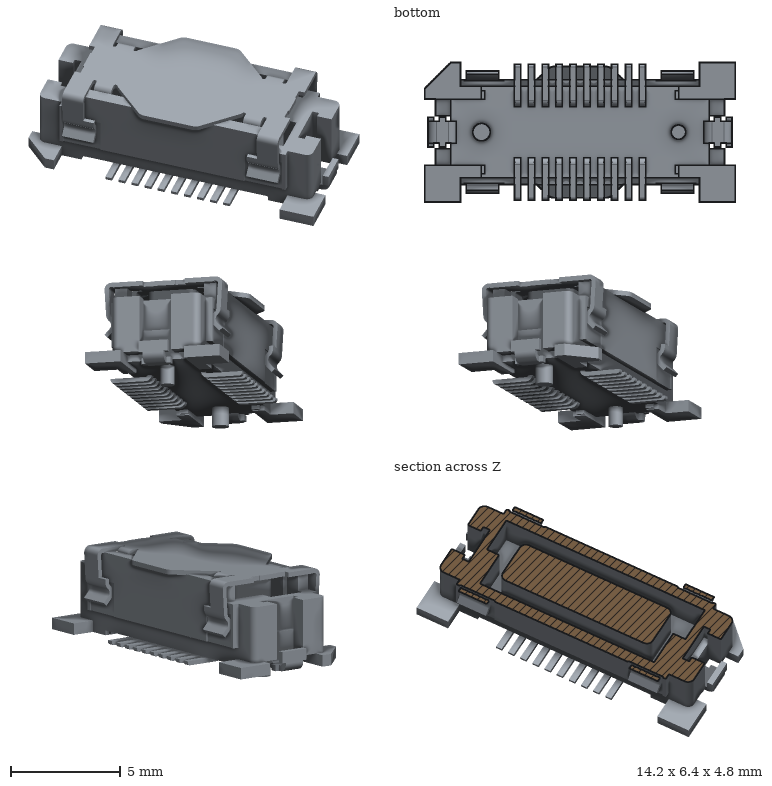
import cadquery as cq
import math


block_half_length = 6.62
block_half_width = 2.10
block_corner_radius = 0.32
base_bottom = 0.27
block_top = 3.18
wall_half_length = 5.48
wall_half_width = 2.40
wall_bottom = 1.12
wall_top = 4.02
upper_wall_half_length = 4.85

cavity_half_length = 4.54
cavity_half_width = 1.82
cavity_floor = 1.00
key_pocket_half_length = 5.18
tongue_half_length = 3.93
tongue_half_width = 1.13
tongue_corner_radius = 0.32

end_slot_half_width = 0.75
nail_slot_inner_x = 5.60
nail_slot_outer_x = 5.92
nail_slot_half_width = 1.00

nail_thickness = 0.28
nail_outer_x = 6.97
nail_inner_top = 1.69
nail_outer_top = 0.98
nail_neck_top = 0.455
nail_foot_half_width = 0.69
nail_neck_half_width = 0.50
nail_foot_inner_x = 6.14
nail_foot_outer_x = 6.45
nail_bend_radius = 0.25

pad_inner_x = 5.47
pad_outer_x = 7.11
pad_inner_y = 1.51
pad_outer_y = 3.20
pad_bottom = 0.044
pad_top = 0.58
pad_chamfer = 1.20
standoff_inner_x = 4.52
standoff_lug_length = 0.15
standoff_lug_bottom = 0.09
standoff_lug_outer_y = 1.90

peg_x = 4.51
peg_bottom = -0.60
left_peg_diameter = 0.80
right_peg_diameter = 0.66

contact_count = 10
contact_pitch = 0.635
contact_width = 0.30
contact_thickness = 0.20
contact_tip_y = 3.12
contact_heel_y = 1.27
contact_heel_rise = 0.20
contact_bend_radius = 0.20
contact_tip_radius = 0.12

cap_top = 4.20
cap_thickness = 0.22
cap_half_length = 5.22
cap_slot_root_y = 1.39
cap_slot_width = 0.18
cap_plate_half_width = 3.01
cap_plate_tip_half_length = 1.36
cap_plate_corner_radius = 0.45
cap_end_notch_depth = 0.28
cap_end_notch_half_width = 1.00
cap_end_tooth_height = 0.05
cap_end_tooth_half_width = 0.50
strap_inner_x = 4.21
strap_half_width = 2.40
tab_inner_x = 3.20
tab_outer_x = strap_inner_x - cap_slot_width
tab_bottom = 2.60
tab_bend_radius = 0.20

leg_thickness = 0.20
leg_corner_y = 2.71
leg_knee = (2.615, 2.54)
leg_vertex = (2.20, 2.28)
leg_tip = (2.73, 1.705)
leg_corner_radius = 0.21
leg_knee_radius = 0.32
leg_vertex_radius = 0.34
leg_shoulder_z = 2.87
leg_wide_inner_x = 3.71

window_inner_x = 3.49
window_outer_x = 5.31
window_top = 2.69
window_floor_y = 2.35


def box(x_range, y_range, z_range):
    """Box between two limits on each axis, given in either order."""
    x_min, x_max = sorted(x_range)
    y_min, y_max = sorted(y_range)
    z_min, z_max = sorted(z_range)
    size = (x_max - x_min, y_max - y_min, z_max - z_min)
    return cq.Workplane("XY").box(*size, centered=False).translate((x_min, y_min, z_min))


def centred_box(half_length, half_width, z_range):
    """Box centred on the Z axis."""
    return box((-half_length, half_length), (-half_width, half_width), z_range)


def four_corners(shape):
    """Copies of a shape in the +X +Y quadrant, mirrored into all four quadrants."""
    pair = shape.union(shape.mirror("XZ"))
    return pair.union(pair.mirror("YZ"))


def both_ends(shape):
    """A shape at the +X end together with its mirror image at the -X end."""
    return shape.union(shape.mirror("YZ"))


def unit(start, end):
    length = math.dist(start, end)
    return ((end[0] - start[0]) / length, (end[1] - start[1]) / length)


def bend(before, corner, after, radius):
    """Start, middle and end of the centreline arc rounding a corner, each as (point, left normal)."""
    u = unit(before, corner)
    v = unit(corner, after)
    turn = math.atan2(u[0] * v[1] - u[1] * v[0], u[0] * v[0] + u[1] * v[1])
    tangent = radius * math.tan(abs(turn) / 2)
    side = math.copysign(1, turn)
    start = (corner[0] - tangent * u[0], corner[1] - tangent * u[1])
    end = (corner[0] + tangent * v[0], corner[1] + tangent * v[1])
    start_normal = (-u[1], u[0])
    end_normal = (-v[1], v[0])
    centre = (start[0] + side * radius * start_normal[0], start[1] + side * radius * start_normal[1])
    mid_normal = unit((0, 0), (start_normal[0] + end_normal[0], start_normal[1] + end_normal[1]))
    middle = (centre[0] - side * radius * mid_normal[0], centre[1] - side * radius * mid_normal[1])
    return [(start, start_normal), (middle, mid_normal), (end, end_normal)]


def bent_strip(plane, centreline, radii, thickness):
    """Closed outline of sheet metal bent along a centreline, one radius per inner corner."""
    bends = []
    for i, radius in enumerate(radii):
        bends.append(bend(centreline[i], centreline[i + 1], centreline[i + 2], radius))
    first_direction = unit(centreline[0], centreline[1])
    last_direction = unit(centreline[-2], centreline[-1])
    first = (centreline[0], (-first_direction[1], first_direction[0]))
    last = (centreline[-1], (-last_direction[1], last_direction[0]))

    def offset(station, side):
        point, normal = station
        shift = side * thickness / 2
        return (point[0] + shift * normal[0], point[1] + shift * normal[1])

    outline = cq.Workplane(plane).moveTo(*offset(first, 1))
    for start, middle, end in bends:
        outline = outline.lineTo(*offset(start, 1)).threePointArc(offset(middle, 1), offset(end, 1))
    outline = outline.lineTo(*offset(last, 1)).lineTo(*offset(last, -1))
    for start, middle, end in reversed(bends):
        outline = outline.lineTo(*offset(end, -1)).threePointArc(offset(middle, -1), offset(start, -1))
    return outline.lineTo(*offset(first, -1)).close()


def make_housing():
    block = centred_box(block_half_length, block_half_width, (pad_bottom, block_top))
    block = block.edges("|Z").fillet(block_corner_radius)
    cross_channel = centred_box(standoff_inner_x, block_half_width, (pad_bottom, base_bottom))
    long_channel = centred_box(block_half_length, pad_inner_y, (pad_bottom, base_bottom))
    end_undercut = box(
        (nail_slot_outer_x, block_half_length), (-pad_inner_y, pad_inner_y), (pad_bottom, pad_top)
    )
    block = block.cut(cross_channel).cut(long_channel).cut(both_ends(end_undercut))

    lug = box(
        (standoff_inner_x - standoff_lug_length, standoff_inner_x),
        (pad_inner_y, standoff_lug_outer_y),
        (standoff_lug_bottom, base_bottom),
    )
    side_walls = centred_box(wall_half_length, wall_half_width, (wall_bottom, block_top))
    upper_walls = centred_box(upper_wall_half_length, wall_half_width, (block_top, wall_top))
    housing = block.union(four_corners(lug)).union(side_walls).union(upper_walls)

    cavity = centred_box(cavity_half_length, cavity_half_width, (cavity_floor, wall_top))
    key_pocket = box(
        (-key_pocket_half_length, key_pocket_half_length), (-cavity_half_width, 0), (cavity_floor, wall_top)
    )
    upper_gap = centred_box(upper_wall_half_length, cavity_half_width, (block_top, wall_top))
    window = box(
        (window_inner_x, window_outer_x), (window_floor_y, wall_half_width), (wall_bottom, window_top)
    )
    housing = housing.cut(cavity).cut(key_pocket).cut(upper_gap).cut(four_corners(window))

    end_slot = box(
        (nail_slot_outer_x, block_half_length), (-end_slot_half_width, end_slot_half_width), (0, block_top)
    )
    nail_slot = box(
        (nail_slot_inner_x, nail_slot_outer_x), (-nail_slot_half_width, nail_slot_half_width), (0, block_top)
    )
    return housing.cut(both_ends(end_slot.union(nail_slot)))


def make_tongue():
    tongue = centred_box(tongue_half_length, tongue_half_width, (cavity_floor, cap_top - cap_thickness))
    return tongue.edges("|Z").fillet(tongue_corner_radius)


def make_pads():
    pad = box((pad_inner_x, pad_outer_x), (pad_inner_y, pad_outer_y), (pad_bottom, pad_top))
    clear_slot = centred_box(pad_outer_x, end_slot_half_width, (pad_bottom, pad_top))
    pads = four_corners(pad).cut(clear_slot)
    return pads.edges("|Z").edges("<(1, 1, 0)").chamfer(pad_chamfer)


def make_peg(x, diameter):
    peg = cq.Workplane("XY", origin=(x, 0, peg_bottom)).circle(diameter / 2)
    return peg.extrude(base_bottom - peg_bottom)


def make_contacts():
    """Two rows of gull-wing feet, each rising into the housing at its heel."""
    middle_z = contact_thickness / 2
    centreline = [
        (contact_tip_y, middle_z),
        (contact_heel_y, middle_z),
        (contact_heel_y, base_bottom + contact_heel_rise),
    ]
    foot = bent_strip("YZ", centreline, [contact_bend_radius], contact_thickness)
    foot = foot.extrude(contact_width).translate((-contact_width / 2, 0, 0))
    foot = foot.faces(">Y").edges("|X").edges("<Z").fillet(contact_tip_radius)
    pair = foot.union(foot.mirror("XZ"))
    contacts = cq.Workplane("XY")
    for i in range(contact_count):
        x = (i - (contact_count - 1) / 2) * contact_pitch
        contacts = contacts.union(pair.translate((x, 0, 0)))
    return contacts


def make_nails():
    """U-shaped solder nails, narrowed at both bends."""
    middle_z = nail_thickness / 2
    outer_x = nail_outer_x - nail_thickness / 2
    inner_x = nail_slot_outer_x - nail_thickness / 2
    centreline = [
        (inner_x, nail_inner_top),
        (inner_x, middle_z),
        (outer_x, middle_z),
        (outer_x, nail_outer_top),
    ]
    bends = [nail_bend_radius, nail_bend_radius]
    strip = bent_strip("XZ", centreline, bends, nail_thickness)
    strip = strip.extrude(2 * nail_foot_half_width).translate((0, nail_foot_half_width, 0))

    neck_heights = (0, nail_neck_top)
    neck_widths = (nail_neck_half_width, nail_foot_half_width)
    outer_notch = box((nail_foot_outer_x, nail_outer_x), neck_widths, neck_heights)
    inner_notch = box((nail_slot_outer_x - nail_thickness, nail_foot_inner_x), neck_widths, neck_heights)
    neck_notches = outer_notch.union(inner_notch)
    nail = strip.cut(neck_notches).cut(neck_notches.mirror("XZ"))
    inner_plate = box(
        (nail_slot_inner_x, nail_slot_outer_x),
        (-nail_slot_half_width, nail_slot_half_width),
        (base_bottom, nail_inner_top),
    )
    return both_ends(nail.union(inner_plate))


def make_cap_plate():
    plate_heights = (cap_top - cap_thickness, cap_top)
    slot_outer_x = tab_inner_x - cap_slot_width
    plate = (
        cq.Workplane("XY", origin=(0, 0, plate_heights[0]))
        .polyline([
            (slot_outer_x, -cap_slot_root_y),
            (slot_outer_x, cap_slot_root_y),
            (cap_plate_tip_half_length, cap_plate_half_width),
            (-cap_plate_tip_half_length, cap_plate_half_width),
            (-slot_outer_x, cap_slot_root_y),
            (-slot_outer_x, -cap_slot_root_y),
            (-cap_plate_tip_half_length, -cap_plate_half_width),
            (cap_plate_tip_half_length, -cap_plate_half_width),
        ])
        .close()
        .extrude(cap_thickness)
    )
    for face in ("<Y", ">Y"):
        plate = plate.faces(face).edges("|Z").fillet(cap_plate_corner_radius)
    plate = plate.union(centred_box(cap_half_length, cap_slot_root_y, plate_heights))
    strap = box((strap_inner_x, cap_half_length), (0, strap_half_width), plate_heights)
    plate = plate.union(four_corners(strap))

    for slot_x in (tab_inner_x - cap_slot_width / 2, strap_inner_x - cap_slot_width / 2):
        slot_end = cq.Workplane("XY", origin=(slot_x, cap_slot_root_y, plate_heights[0]))
        slot_end = slot_end.circle(cap_slot_width / 2).extrude(cap_thickness)
        plate = plate.cut(four_corners(slot_end))

    notch_bottom_x = cap_half_length - cap_end_notch_depth
    notch = box(
        (notch_bottom_x, cap_half_length),
        (-cap_end_notch_half_width, cap_end_notch_half_width),
        plate_heights,
    )
    tooth = box(
        (notch_bottom_x, notch_bottom_x + cap_end_tooth_height),
        (-cap_end_tooth_half_width, cap_end_tooth_half_width),
        plate_heights,
    )
    return plate.cut(both_ends(notch)).union(both_ends(tooth))


def make_cap_tabs():
    """Tabs bent down from the cap against the inner faces of the walls."""
    middle_z = cap_top - cap_thickness / 2
    tab_y = cavity_half_width - cap_thickness / 2
    centreline = [(cap_slot_root_y - cap_thickness, middle_z), (tab_y, middle_z), (tab_y, tab_bottom)]
    tab = bent_strip("YZ", centreline, [tab_bend_radius], cap_thickness)
    return four_corners(tab.extrude(tab_outer_x - tab_inner_x).translate((tab_inner_x, 0, 0)))


def make_cap_legs():
    """Spring legs bent down over the walls, with a V-shaped latch at the lower end."""
    middle_z = cap_top - leg_thickness / 2
    centreline = [
        (strap_half_width - leg_thickness, middle_z),
        (leg_corner_y, middle_z),
        leg_knee,
        leg_vertex,
        leg_tip,
    ]
    radii = [leg_corner_radius, leg_knee_radius, leg_vertex_radius]
    leg = bent_strip("YZ", centreline, radii, leg_thickness)
    leg = leg.extrude(cap_half_length - leg_wide_inner_x).translate((leg_wide_inner_x, 0, 0))
    shoulder = box((leg_wide_inner_x, strap_inner_x), (0, pad_outer_y), (leg_shoulder_z, cap_top))
    return four_corners(leg.cut(shoulder))


result = (
    make_housing()
    .union(make_tongue())
    .union(make_pads())
    .union(make_peg(-peg_x, left_peg_diameter))
    .union(make_peg(peg_x, right_peg_diameter))
    .union(make_contacts())
    .union(make_nails())
    .union(make_cap_plate())
    .union(make_cap_tabs())
    .union(make_cap_legs())
)